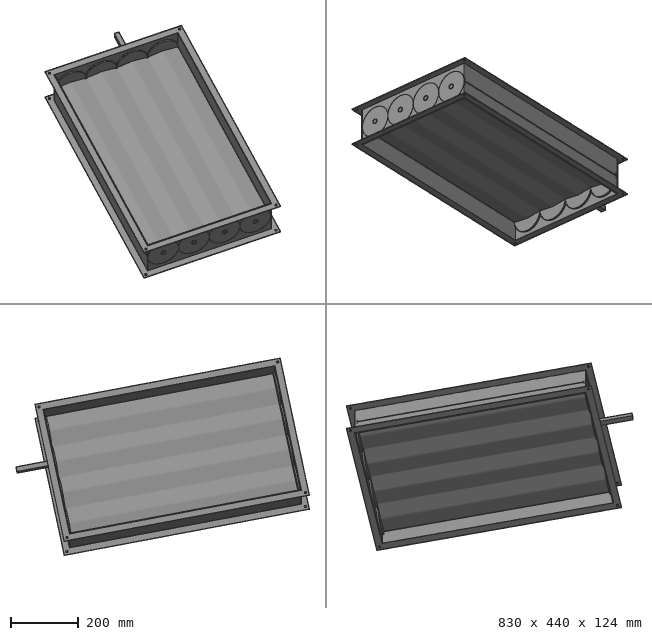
import cadquery as cq

overall_length = 830.0
frame_length = 740.0
frame_width = 440.0
frame_height = 124.0
flange_width = 20.0
sheet = 2.0

hole_diameter = 6.0
hole_inset = 10.0

blade_count = 4
ridge_width = 4.0
ridge_height = 14.0
tip_height = 2.5
disc_thickness = 5.0

shaft_diameter = 15.0
handle_side = 15.0
driven_blade = 2

casing_length = frame_length - 2 * flange_width
casing_width = frame_width - 2 * flange_width
inner_length = casing_length - 2 * sheet
inner_width = casing_width - 2 * sheet
blade_pitch = inner_width / blade_count
slat_length = inner_length - 2 * disc_thickness
handle_end = frame_length / 2 - overall_length
blade_centres = [(i - (blade_count - 1) / 2) * blade_pitch for i in range(blade_count)]


def x_bar(section, start, end):
    """Extrude a section drawn on the YZ plane from x = start to x = end."""
    return section.extrude(end - start).translate((start, 0, 0))


def make_shaft(y, start, end):
    section = cq.Workplane("YZ").circle(shaft_diameter / 2)
    return x_bar(section, start, end).translate((0, y, 0))


def make_handle():
    section = cq.Workplane("YZ").rect(handle_side, handle_side)
    return x_bar(section, handle_end, -inner_length / 2).translate((0, blade_centres[driven_blade], 0))


def make_frame():
    frame = cq.Workplane("XY").box(casing_length, casing_width, frame_height)

    for side in (-1, 1):
        flange = cq.Workplane("XY").box(frame_length, frame_width, sheet)
        frame = frame.union(flange.translate((0, 0, side * (frame_height - sheet) / 2)))

    frame = frame.cut(cq.Workplane("XY").box(inner_length, inner_width, frame_height))

    holes = (
        cq.Workplane("XY")
        .rect(frame_length - 2 * hole_inset, frame_width - 2 * hole_inset, forConstruction=True)
        .vertices()
        .circle(hole_diameter / 2)
        .extrude(frame_height, both=True)
    )
    frame = frame.cut(holes)

    for y in blade_centres:
        frame = frame.cut(make_shaft(y, -casing_length / 2, casing_length / 2))
    return frame.cut(make_handle())


def make_slat():
    """Six-sided tapered slat, thickest along a narrow flat ridge over the shaft axis."""
    upper_side = [
        (-blade_pitch / 2, tip_height / 2),
        (-ridge_width / 2, ridge_height / 2),
        (ridge_width / 2, ridge_height / 2),
        (blade_pitch / 2, tip_height / 2),
    ]
    lower_side = [(y, -z) for y, z in reversed(upper_side)]
    section = cq.Workplane("YZ").polyline(upper_side + lower_side).close()
    return x_bar(section, -slat_length / 2, slat_length / 2)


def make_blade(y):
    blade = make_slat().translate((0, y, 0))
    for inner_x, outer_x, wall_x in (
        (-slat_length / 2, -inner_length / 2, -casing_length / 2),
        (slat_length / 2, inner_length / 2, casing_length / 2),
    ):
        disc = x_bar(cq.Workplane("YZ").circle(blade_pitch / 2), inner_x, outer_x)
        blade = blade.union(disc.translate((0, y, 0)))
        blade = blade.union(make_shaft(y, outer_x, wall_x))
    return blade


def make_louvre():
    """All the blades joined along their tips, with the handle on the driven one."""
    louvre = make_handle()
    for y in blade_centres:
        louvre = louvre.union(make_blade(y))
    return louvre


frame = make_frame()
louvre = make_louvre()
result = cq.Compound.makeCompound([frame.solids().val(), louvre.solids().val()])